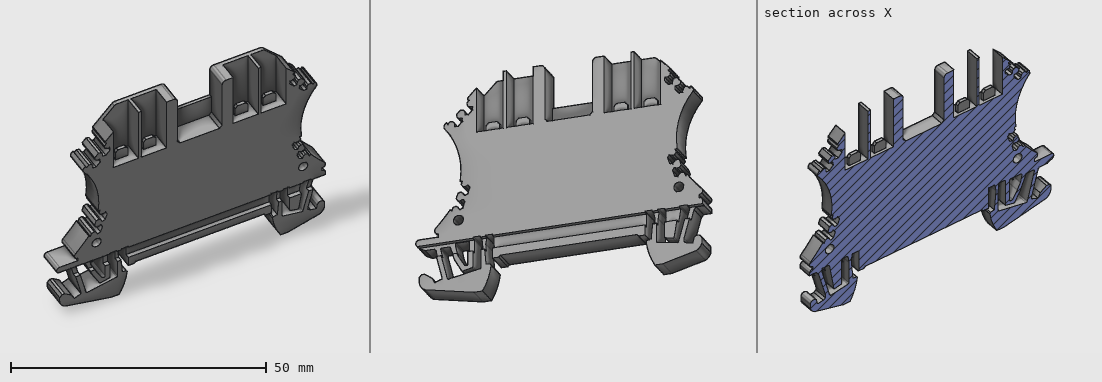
import cadquery as cq
import math


thickness = 5.1
length = 60
height = 46.25
notch_half_width = 5.0
notch_floor = 38.75
tower_fillet = 0.9
shoulder_start = 16.55
shoulder_end = 21.1
shoulder_foot = height - (shoulder_end - shoulder_start)
shoulder_fillet = 0.8
base_level = 7.1
pad_drop = 0.35
pad_inner = 14.3
body_half_width = 15.95
slot_top = 11.8
lip_reach = 28.0
tab_reach = length - lip_reach
tab_radius = 0.7
lip_groove_reach = 27.25
lip_groove_bottom = 12.95
lip_groove_top = 13.55

lobe_pitch = 3.05
lobe_flat = 0.6
lobe_side = ((0.95, 0.55), (0.85, 1.0), (0.4, 1.5))
comb_depth = 2.05
comb_floor = 0.65
comb_step = 0.4
nick_offset = 0.1
upper_comb_centre = (23.05, 38.95)
upper_comb_tilt = 45
lower_comb_centre = (23.35, 21.1)
lower_comb_tilt = 20

hole_radius = 1.0
hole_offset = 23.05
hole_level = 15.9
wall = 0.9
notch_wall = 0.7
well_depth = 4.6
well_floor = notch_floor - well_depth
well_chamfer = 0.6
pocket_length = 5.6
divider = 0.65
pocket_start = 7.45
pocket_starts = (pocket_start, pocket_start + pocket_length + divider)
channel_depth = 0.95
channel_bottom = 8.9
channel_top = 11.6
corner_radius = 0.25

blade_thickness = 0.7
blade_length = 2.8
blade_height = 2.4
blade_chamfer = 0.55

blade_x = (wall + thickness) / 2
clamp_spots = [side * (start + pocket_length / 2) for side in (1, -1) for start in pocket_starts]


def plate(start, path, depth=thickness, x_start=0):
    """Extrude a closed YZ outline; a path item is a point, or the (middle, end) of an arc."""
    outline = cq.Workplane("YZ", origin=(x_start, 0, 0)).moveTo(*start)
    for item in path:
        if isinstance(item[0], tuple):
            outline = outline.threePointArc(*item)
        else:
            outline = outline.lineTo(*item)
    return outline.close().extrude(depth)


def box(x_range, y_range, z_range):
    """Block filling the given ranges of X, Y and Z."""
    (x0, x1), (y0, y1), (z0, z1) = x_range, y_range, z_range
    return cq.Workplane("XY").box(x1 - x0, y1 - y0, z1 - z0, centered=False).translate((x0, y0, z0))


def comb(centre, tilt):
    """Path down a comb: a full lobe at `centre`, a slot on each side, then half lobes."""
    sin, cos = math.sin(math.radians(tilt)), math.cos(math.radians(tilt))

    def place(along, out):
        return (centre[0] + along * sin + out * cos, centre[1] - along * cos + out * sin)

    path = [place(-lobe_pitch, comb_step), place(-lobe_pitch - nick_offset, 0)]
    for slot in (-lobe_pitch / 2, lobe_pitch / 2):
        lobe_before = slot - lobe_pitch / 2
        lobe_after = slot + lobe_pitch / 2
        path += [
            place(lobe_before + lobe_flat, 0),
            *[place(lobe_before + half_width, -depth) for half_width, depth in lobe_side],
            place(slot - comb_floor, -comb_depth),
            place(slot + comb_floor, -comb_depth),
            *[place(lobe_after - half_width, -depth) for half_width, depth in reversed(lobe_side)],
            place(lobe_after - lobe_flat, 0),
        ]
    path += [place(lobe_pitch + nick_offset, 0), place(lobe_pitch, comb_step)]
    return path


def body_half():
    """The +Y half of the symmetrical part, from the middle out to the upper lip."""
    path = [
        (notch_half_width, notch_floor),
        (notch_half_width, height),
        (shoulder_start, height),
        (shoulder_end, shoulder_foot),
        *comb(upper_comb_centre, upper_comb_tilt),
        (25.5, 37.1),
        ((26.0, 36.65), (26.05, 35.95)),
        ((23.35, 31.2), (22.7, 24.35)),
        *comb(lower_comb_centre, lower_comb_tilt),
        ((26.3, 16.55), (27.8, 14.95)),
        ((lip_reach, 14.4), (27.85, 13.85)),
        (lip_groove_reach, lip_groove_top),
        (lip_groove_reach, slot_top),
        (body_half_width, slot_top),
        (body_half_width, base_level - pad_drop),
        (pad_inner + pad_drop, base_level - pad_drop),
        (pad_inner, base_level),
        (0, base_level),
    ]
    half = plate((0, notch_floor), path)
    tower_edge = cq.selectors.NearestToPointSelector((thickness / 2, notch_half_width, height))
    shoulder_edge = cq.selectors.NearestToPointSelector((thickness / 2, shoulder_start, height))
    return half.edges(tower_edge).fillet(tower_fillet).edges(shoulder_edge).fillet(shoulder_fillet)


claw_inner_side = [((16.8, 2.6), (16.2, 5.2)), (16.4, 5.5), (17.3, 5.7), (17.7, 10.4), (17.4, slot_top)]
claw_tip = (18.0, 0)


def hook_foot():
    """The +Y foot: lower lip, sloping outer leg and a hooked claw, before its window is cut."""
    path = [
        ((27.85, 12.7), (lip_reach, 12.35)),
        (lip_reach, 11.5),
        (26.35, 11.5),
        (25.85, 11.0),
        (24.1, 4.75),
        (24.1, 4.1),
        (24.65, 3.7),
        (26.0, 3.5),
        (26.15, 4.25),
        ((27.0, 5.05), (27.85, 4.25)),
        (27.85, 3.2),
        ((27.4, 2.35), (26.7, 1.75)),
        (19.7, 0),
        claw_tip,
        *claw_inner_side,
        (17.4, lip_groove_bottom),
    ]
    return plate((lip_groove_reach, lip_groove_bottom), path)


def hook_window():
    """U-shaped opening round the tongue between the two legs of the hook foot."""
    points = [
        (23.15, slot_top), (22.0, 5.1), (20.05, 5.5), (20.05, slot_top), (18.6, slot_top),
        (18.35, 10.2), (18.35, 4.8), (22.9, 4.0), (24.95, 11.3), (24.85, slot_top),
    ]
    return plate(points[0], points[1:]).edges("|X").fillet(corner_radius)


def release_foot():
    """The foot with the long release tab, outlined on +Y; it is mirrored into place."""
    path = [
        (tab_reach - tab_radius, lip_groove_bottom),
        ((tab_reach, lip_groove_bottom - tab_radius), (31.55, 11.5)),
        (30.35, 10.9),
        (28.45, 10.9),
        (28.15, 10.6),
        (26.5, 4.25),
        (26.5, 3.9),
        (28.0, 3.3),
        (28.55, 4.4),
        (30.1, 5.45),
        (30.7, 5.45),
        (31.25, 4.9),
        (31.25, 4.0),
        ((30.9, 2.8), (29.95, 2.1)),
        (19.8, 0),
        claw_tip,
        *claw_inner_side,
        (17.4, lip_groove_bottom),
    ]
    return plate((lip_groove_reach, lip_groove_bottom), path)


def release_windows():
    """The U-shaped opening round the hollow tongue, and the opening inside that tongue."""
    around = [
        (20.05, slot_top), (20.05, 5.35), (22.3, 4.85), (23.8, 7.45), (25.2, 10.9), (27.2, 10.9),
        (25.3, 3.6), (18.35, 4.85), (18.35, 10.2), (18.5, slot_top),
    ]
    inside = [(21.1, 11.45), (24.1, 11.45), (23.7, 9.5), (22.9, 7.9), (21.7, 6.0), (21.1, 6.0)]
    around_cut = plate(around[0], around[1:]).edges("|X").fillet(corner_radius)
    inside_cut = plate(inside[0], inside[1:]).edges("|X").fillet(corner_radius)
    return around_cut.union(inside_cut)


def centre_well():
    """Well behind the notch wall, open to +X, with 45-degree chamfers along its floor."""
    floor_end = notch_half_width - well_chamfer
    path = [
        (notch_half_width, well_floor + well_chamfer),
        (notch_half_width, notch_floor),
        (-notch_half_width, notch_floor),
        (-notch_half_width, well_floor + well_chamfer),
        (-floor_end, well_floor),
    ]
    return plate((floor_end, well_floor), path, thickness - notch_wall, notch_wall)


def clamp_pocket(y):
    """Pocket open to the top and to +X, running out through the shoulder where it reaches it."""
    ends = (y - pocket_length / 2, y + pocket_length / 2)
    return box((wall, thickness), ends, (well_floor, height))


def clamp_blade(y):
    """Blade standing on a pocket floor, with its upper ends chamfered."""
    sides = (blade_x - blade_thickness / 2, blade_x + blade_thickness / 2)
    ends = (y - blade_length / 2, y + blade_length / 2)
    blade = box(sides, ends, (well_floor, well_floor + blade_height))
    return blade.faces(">Z").edges("|X").chamfer(blade_chamfer)


def make_housing():
    """The whole housing: mirrored body and two unlike feet, less every opening."""
    half = body_half()
    housing = half.union(half.mirror("XZ"))
    housing = housing.union(hook_foot()).union(release_foot().mirror("XZ"))
    housing = housing.cut(hook_window()).cut(release_windows().mirror("XZ"))

    hole_spots = [(hole_offset, hole_level), (-hole_offset, hole_level)]
    holes = cq.Workplane("YZ").pushPoints(hole_spots).circle(hole_radius).extrude(thickness)
    channel_sides = (thickness - channel_depth, thickness)
    channel = box(channel_sides, (-tab_reach, lip_reach), (channel_bottom, channel_top))
    housing = housing.cut(holes).cut(channel).cut(centre_well())
    for y in clamp_spots:
        housing = housing.cut(clamp_pocket(y))
    return housing


housing = make_housing()
blades = [clamp_blade(y) for y in clamp_spots]

result = cq.Compound.makeCompound([housing.val(), *[blade.val() for blade in blades]])